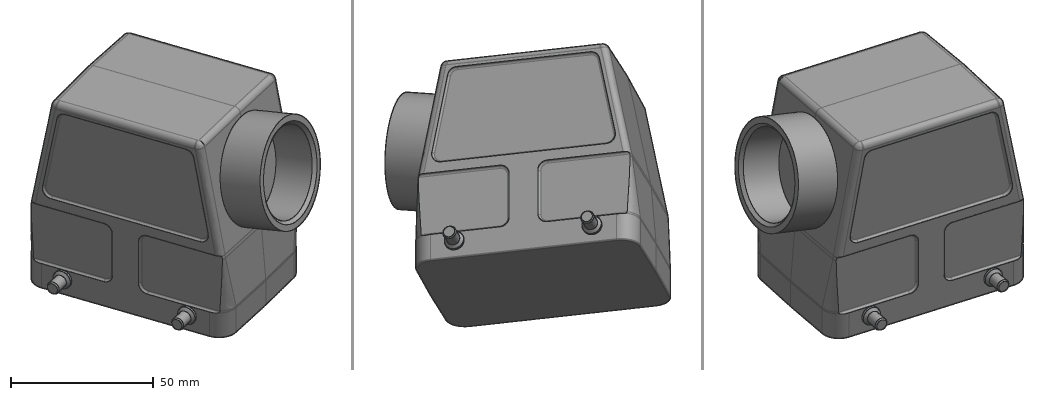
import cadquery as cq
import math

OVERALL_LENGTH = 95.6

HOOD_DEPTH = 55.7
HOOD_HEIGHT = 78.4
BAND_HALF_LENGTH = 40.9
BAND_TOP = 10.7
SHOULDER_HALF_LENGTH = 39.1
SHOULDER_Z = 33.35
END_LEAN = 11.0
BAND_BEVEL = 0.33
SHOULDER_BEVEL = 0.7
END_CROWN = 0.4
ROOF_CROWN = 0.6
BAND_CORNER = 7.0
UPPER_CORNER = 2.5
ROOF_FILLET = 2.4
BASE_FILLET = 0.5

RECESS_DEPTH = 1.05
RECESS_CORNER = 3.4
RECESS_FLOOR_FILLET = 0.8
WINDOW_BOTTOM = 38.0
WINDOW_TOP = 74.3
WINDOW_MARGIN = 4.2
PANEL_BOTTOM = 10.2
PANEL_TOP = 34.1
PANEL_GAP = 10.5

PIN_DIAMETER = 4.8
PIN_SPAN = 71.2
PIN_X = 24.9
PIN_Z = 6.6
PIN_CHAMFER = 0.4
PIN_CHAMFER_LENGTH = 0.6
FLANGE_DIAMETER = 7.0
FLANGE_THICKNESS = 1.0
FLANGE_CONE = 1.0

COLLAR_DIAMETER = 41.4
COLLAR_FACE_Z = 57.6
BORE_DIAMETER = 34.2
BORE_CHAMFER = 1.2

half_depth = HOOD_DEPTH / 2
lean = math.radians(END_LEAN)
lean_slope = math.tan(lean)


def half_length(z):
    """Half length of the hood at mid-depth, at height z."""
    if z <= BAND_TOP:
        return BAND_HALF_LENGTH
    if z >= SHOULDER_Z:
        return SHOULDER_HALF_LENGTH - (z - SHOULDER_Z) * lean_slope
    share = (z - BAND_TOP) / (SHOULDER_Z - BAND_TOP)
    return BAND_HALF_LENGTH + share * (SHOULDER_HALF_LENGTH - BAND_HALF_LENGTH)


def hood_section(z, corner):
    """Plan outline at height z: crowned ends and four rounded corners."""
    mid = half_length(z)
    side = mid - END_CROWN
    points = [
        (mid, 0),
        (side, half_depth),
        (-side, half_depth),
        (-mid, 0),
        (-side, -half_depth),
        (side, -half_depth),
    ]
    outline = cq.Wire.makePolygon([cq.Vector(x, y, z) for x, y in points], close=True)
    face = cq.Face.makeFromWires(outline)
    corners = [v for v in face.Vertices() if abs(v.Y) > half_depth / 2]
    return face.fillet2D(corner, corners).outerWire()


def make_hood():
    sections = [
        hood_section(0, BAND_CORNER),
        hood_section(BAND_TOP - BAND_BEVEL, BAND_CORNER),
        hood_section(BAND_TOP + BAND_BEVEL, BAND_CORNER),
        hood_section(SHOULDER_Z - SHOULDER_BEVEL, UPPER_CORNER),
        hood_section(SHOULDER_Z + SHOULDER_BEVEL, UPPER_CORNER),
        hood_section(HOOD_HEIGHT, UPPER_CORNER),
    ]
    hood = cq.Workplane(cq.Solid.makeLoft(sections, True))

    eaves = HOOD_HEIGHT - ROOF_CROWN
    roof_envelope = (
        cq.Workplane("YZ")
        .polyline([
            (-half_depth, 0),
            (half_depth, 0),
            (half_depth, eaves),
            (0, HOOD_HEIGHT),
            (-half_depth, eaves),
        ])
        .close()
        .extrude(BAND_HALF_LENGTH, both=True)
    )
    hood = hood.intersect(roof_envelope)

    roof_edges = slab_selector(half_depth + ROOF_CROWN, eaves - ROOF_CROWN)
    ridge = slab_selector(half_depth / 4, eaves - ROOF_CROWN)
    hood = hood.edges(roof_edges - ridge).fillet(ROOF_FILLET)
    return hood.faces("<Z").edges().fillet(BASE_FILLET)


def slab_selector(half_width, bottom):
    """Selects what is centred within half_width of mid-depth and above bottom."""
    return cq.selectors.BoxSelector(
        (-BAND_HALF_LENGTH, -half_width, bottom),
        (BAND_HALF_LENGTH, half_width, HOOD_HEIGHT + ROOF_CROWN),
    )


def recess_cutter(points):
    """Cutter for a recess in the -Y side, with rounded corners and floor edge."""
    floor_plane = cq.Workplane("XZ", origin=(0, RECESS_DEPTH - half_depth, 0))
    cutter = floor_plane.polyline(points).close().extrude(2 * RECESS_DEPTH)
    return cutter.edges("|Y").fillet(RECESS_CORNER).faces(">Y").edges().fillet(RECESS_FLOOR_FILLET)


def make_window():
    low = half_length(WINDOW_BOTTOM) - WINDOW_MARGIN
    high = half_length(WINDOW_TOP) - WINDOW_MARGIN
    return recess_cutter([
        (-low, WINDOW_BOTTOM),
        (low, WINDOW_BOTTOM),
        (high, WINDOW_TOP),
        (-high, WINDOW_TOP),
    ])


def make_panel():
    """Lower recess on the +X half; its outer end runs out past the hood."""
    inner = PANEL_GAP / 2
    outer = BAND_HALF_LENGTH + 2 * RECESS_CORNER
    return recess_cutter([
        (inner, PANEL_BOTTOM),
        (outer, PANEL_BOTTOM),
        (outer, PANEL_TOP),
        (inner, PANEL_TOP),
    ])


def make_pin_bar():
    """A pair of opposite pins with their flanges, turned about one axis along Y."""
    pin_radius = PIN_DIAMETER / 2
    flange_radius = FLANGE_DIAMETER / 2
    flange_end = half_depth + FLANGE_THICKNESS
    tip = PIN_SPAN / 2
    half_bar = (
        cq.Workplane("XY")
        .polyline([
            (0, 0),
            (flange_radius, 0),
            (flange_radius, flange_end),
            (pin_radius, flange_end + FLANGE_CONE),
            (pin_radius, tip - PIN_CHAMFER_LENGTH),
            (pin_radius - PIN_CHAMFER, tip),
            (0, tip),
        ])
        .close()
        .revolve(360, (0, 0, 0), (0, 1, 0))
    )
    return half_bar.union(half_bar.mirror("XZ"))


collar_face_x = OVERALL_LENGTH - BAND_HALF_LENGTH - COLLAR_DIAMETER / 2 * math.sin(lean)
collar_axis = (math.cos(lean), 0, math.sin(lean))
collar_mouth = cq.Plane(
    origin=(collar_face_x, 0, COLLAR_FACE_Z), xDir=(0, 1, 0), normal=collar_axis
)
collar_length = (collar_face_x - half_length(COLLAR_FACE_Z)) * math.cos(lean)


def make_collar():
    """Outer cylinder, sunk a little into the hood so that the two join."""
    sunk_length = collar_length + 2 * END_CROWN
    return cq.Workplane(collar_mouth).circle(COLLAR_DIAMETER / 2).extrude(-sunk_length)


def make_bore():
    """Bore that ends level with the hood end, with a chamfered mouth."""
    bore_radius = BORE_DIAMETER / 2
    bore = cq.Workplane(collar_mouth).circle(bore_radius).extrude(-collar_length)
    mouth = cq.Solid.makeCone(
        bore_radius + BORE_CHAMFER,
        bore_radius,
        BORE_CHAMFER,
        pnt=collar_mouth.origin,
        dir=-collar_mouth.zDir,
    )
    return bore.union(cq.Workplane(mouth))


result = make_hood()

panel = make_panel()
for cutter in (make_window(), panel, panel.mirror("YZ")):
    result = result.cut(cutter).cut(cutter.mirror("XZ"))

pin_bar = make_pin_bar()
for side in (-1, 1):
    result = result.union(pin_bar.translate((side * PIN_X, 0, PIN_Z)))

result = result.union(make_collar()).cut(make_bore())